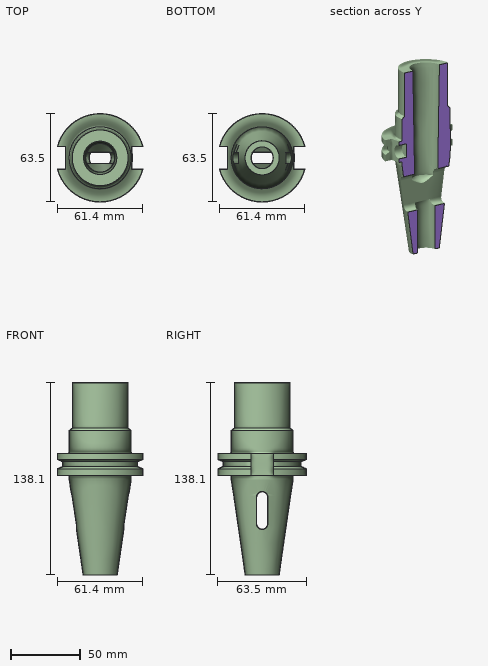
import cadquery as cq
import math

total_height = 138.1

gauge_height = 68.4
gauge_diameter = 44.5
shank_taper = 7 / 24
shank_end_diameter = gauge_diameter - shank_taper * gauge_height

flange_bottom = 71.4
flange_thickness = 15.9
flange_top = flange_bottom + flange_thickness
flange_diameter = 63.5
lower_lip_thickness = 4.8
upper_lip_thickness = 4.3
groove_diameter = 56.2
groove_flank_height = 1.7

drive_slot_width = 16.2
left_slot_floor = 25.0
right_slot_floor = 22.8

pocket_diameter = 9.8
pocket_depth = 6.9

neck_diameter = gauge_diameter
neck_top = 105.5
neck_chamfer = 2.0
neck_fillet = 1.0
nose_diameter = 40.0

socket_mouth_diameter = 23.9
socket_end_diameter = 20.6
socket_depth = 84.0
drill_point_angle = 118.0

ejector_slot_width = 7.9
ejector_slot_length = 26.9
ejector_slot_top = 59.8
bolt_bore_diameter = 15.6


def make_body():
    """Revolve the outer outline about the Z axis."""
    shank_end_radius = shank_end_diameter / 2
    gauge_radius = gauge_diameter / 2
    flange_radius = flange_diameter / 2
    groove_radius = groove_diameter / 2
    neck_radius = neck_diameter / 2
    nose_radius = nose_diameter / 2
    groove_bottom = flange_bottom + lower_lip_thickness
    groove_top = flange_top - upper_lip_thickness
    fillet_center = (neck_radius + neck_fillet, flange_top + neck_fillet)
    fillet_offset = neck_fillet * math.sqrt(0.5)
    fillet_middle = (fillet_center[0] - fillet_offset, fillet_center[1] - fillet_offset)
    return (
        cq.Workplane("XZ")
        .moveTo(0, 0)
        .lineTo(shank_end_radius, 0)
        .lineTo(gauge_radius, gauge_height)
        .lineTo(gauge_radius, flange_bottom)
        .lineTo(flange_radius, flange_bottom)
        .lineTo(flange_radius, groove_bottom)
        .lineTo(groove_radius, groove_bottom + groove_flank_height)
        .lineTo(groove_radius, groove_top - groove_flank_height)
        .lineTo(flange_radius, groove_top)
        .lineTo(flange_radius, flange_top)
        .lineTo(neck_radius + neck_fillet, flange_top)
        .threePointArc(fillet_middle, (neck_radius, flange_top + neck_fillet))
        .lineTo(neck_radius, neck_top - neck_chamfer)
        .lineTo(nose_radius, neck_top)
        .lineTo(nose_radius, total_height)
        .lineTo(0, total_height)
        .close()
        .revolve(360, (0, 0, 0), (0, 1, 0))
    )


def make_socket():
    """Tapered bore from the nose face down to its drill point."""
    end_radius = socket_end_diameter / 2
    end_height = total_height - socket_depth
    point_length = end_radius / math.tan(math.radians(drill_point_angle / 2))
    return (
        cq.Workplane("XZ")
        .moveTo(0, total_height)
        .lineTo(socket_mouth_diameter / 2, total_height)
        .lineTo(end_radius, end_height)
        .lineTo(0, end_height - point_length)
        .close()
        .revolve(360, (0, 0, 0), (0, 1, 0))
    )


def make_drive_slot(side, floor):
    """Open slot through one side of the flange; side is -1 or +1 along X."""
    depth = flange_diameter / 2 - floor
    return (
        cq.Workplane("XY", origin=(side * (floor + depth / 2), 0, flange_bottom))
        .box(depth, drive_slot_width, flange_thickness, centered=(True, True, False))
    )


def make_pocket():
    """Blind round pocket drilled toward +X from the -X slot floor."""
    pocket_height = flange_bottom + flange_thickness / 2
    return (
        cq.Workplane("YZ", origin=(-left_slot_floor, 0, pocket_height))
        .circle(pocket_diameter / 2)
        .extrude(pocket_depth)
    )


def make_ejector_slot():
    """Vertical round-ended slot passing right through the shank along X."""
    slot_center = ejector_slot_top - ejector_slot_length / 2
    return (
        cq.Workplane("YZ", origin=(0, 0, slot_center))
        .slot2D(ejector_slot_length, ejector_slot_width, 90)
        .extrude(gauge_diameter / 2, both=True)
    )


def make_bolt_bore():
    """Bore from the shank end up to where the ejector slot's lower round begins."""
    bore_depth = ejector_slot_top - ejector_slot_length + ejector_slot_width / 2
    return cq.Workplane("XY").circle(bolt_bore_diameter / 2).extrude(bore_depth)


result = (
    make_body()
    .cut(make_drive_slot(-1, left_slot_floor))
    .cut(make_drive_slot(1, right_slot_floor))
    .cut(make_pocket())
    .cut(make_socket())
    .cut(make_ejector_slot())
    .cut(make_bolt_bore())
)